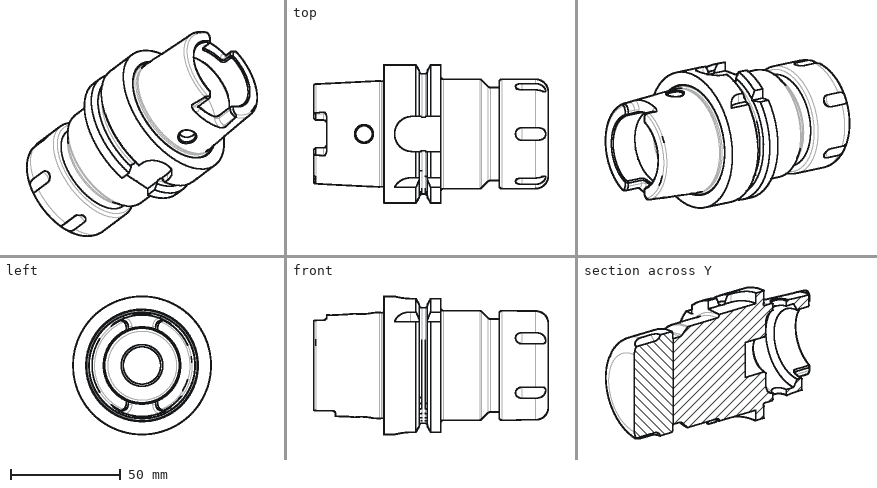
import cadquery as cq
import math


shank_length = 32.0
gauge_radius = 24.0
gauge_x = -6.3
taper_slope = 1 / 20
tip_fillet = 1.0
relief_length = 2.0
relief_radius = 24.1
relief_taper_length = 0.8
relief_fillet = 0.7
face_relief_radius = 25.3
face_relief_depth = 0.3

slot_half_width = 6.25
upper_slot_depth = 6.0
lower_slot_depth = 10.0
slot_flare_radius = 2.9
slot_flare_height = 20.65
slot_floor_fillet = 1.5
slot_lead_in = 1.0
slot_lead_in_flare = 0.3

bore_radius = 17.0
bore_chamfer = 0.6
bore_lip_x = -19.0
chamber_radius = 20.5
clamping_face_angle = 60.0
chamber_fillet = 4.8
chamber_floor_x = -1.2
coolant_bore_radius = 8.5
coolant_bore_chamfer = 1.0
coolant_bore_depth = 12.0
access_hole_radius = 3.75
access_hole_chamfer = 0.5
access_hole_x = -9.0

flange_radius = 31.5
flange_length = 26.0
groove_centre_x = 18.0
groove_half_width = 3.35
groove_radius = 27.5
groove_half_floor = 1.8
groove_fillet = 1.0
groove_wall_angle = 30.0

keyway_radius = 8.0
keyway_centre_x = 12.9
keyway_floor = 26.4
notch_cutter_radius = 8.0
notch_centre_x = 12.0
notch_offset = 20.0

body_radius = 25.0
body_root_fillet = 1.1
shoulder_x = 44.1
shoulder_fillet = 0.9
neck_radius = 21.25
neck_fillet = 1.35

nut_start = 52.5
nut_end = 75.0
nut_radius = 25.0
nut_rear_fillet = 1.3
nut_front_fillet = 6.0
wrench_slot_count = 6
wrench_slot_radius = 3.0
wrench_slot_axis_radius = 25.7
wrench_slot_centre_x = 62.9

slot_outer_margin = 2.0
tolerance = 0.001

edge_stations = (0, 0.3, 0.5, 0.7, 1)


def taper_radius(x):
    return gauge_radius + taper_slope * (x - gauge_x)


def revolve_about_x(profile):
    return profile.close().revolve(360, (0, 0, 0), (1, 0, 0))


def circles_at(body, x, radius):
    """Circular edges of a turned body with a given radius, lying at a given X."""
    return body.edges("%CIRCLE").filter(
        lambda edge: abs(edge.Center().x - x) < tolerance and abs(edge.radius() - radius) < tolerance
    )



def make_turned_outside():
    tip_x = -shank_length
    tip_fillet_end = tip_x + tip_fillet
    tip_face_radius = taper_radius(tip_fillet_end) - tip_fillet
    groove_wall_length = groove_half_width - groove_half_floor
    groove_wall_foot = flange_radius - groove_wall_length / math.tan(math.radians(groove_wall_angle))
    groove_start = groove_centre_x - groove_half_floor
    groove_end = groove_centre_x + groove_half_floor
    neck_start = shoulder_x + body_radius - neck_radius
    profile = (
        cq.Workplane("XY")
        .moveTo(tip_x, 0)
        .lineTo(tip_x, tip_face_radius)
        .radiusArc((tip_fillet_end, taper_radius(tip_fillet_end)), tip_fillet)
        .lineTo(-relief_length, taper_radius(-relief_length))
        .lineTo(-relief_length + relief_taper_length, relief_radius)
        .lineTo(face_relief_depth - relief_fillet, relief_radius)
        .radiusArc((face_relief_depth, relief_radius + relief_fillet), -relief_fillet)
        .lineTo(face_relief_depth, face_relief_radius)
        .lineTo(0, face_relief_radius + face_relief_depth)
        .lineTo(0, flange_radius)
        .lineTo(groove_centre_x - groove_half_width, flange_radius)
        .lineTo(groove_start, groove_wall_foot)
        .lineTo(groove_start, groove_radius + groove_fillet)
        .radiusArc((groove_start + groove_fillet, groove_radius), -groove_fillet)
        .lineTo(groove_end - groove_fillet, groove_radius)
        .radiusArc((groove_end, groove_radius + groove_fillet), -groove_fillet)
        .lineTo(groove_end, groove_wall_foot)
        .lineTo(groove_centre_x + groove_half_width, flange_radius)
        .lineTo(flange_length, flange_radius)
        .lineTo(flange_length, body_radius + body_root_fillet)
        .radiusArc((flange_length + body_root_fillet, body_radius), -body_root_fillet)
        .lineTo(shoulder_x, body_radius)
        .lineTo(neck_start, neck_radius)
        .lineTo(nut_start, neck_radius)
        .lineTo(nut_start, 0)
    )
    turned = revolve_about_x(profile)
    turned = circles_at(turned, shoulder_x, body_radius).fillet(shoulder_fillet)
    return circles_at(turned, neck_start, neck_radius).fillet(neck_fillet)


def make_clamping_bore():
    clamping_face_length = (chamber_radius - bore_radius) / math.tan(math.radians(clamping_face_angle))
    coolant_bore_end = chamber_floor_x + coolant_bore_depth
    profile = (
        cq.Workplane("XY")
        .moveTo(-shank_length, 0)
        .lineTo(-shank_length, bore_radius)
        .lineTo(bore_lip_x, bore_radius)
        .lineTo(bore_lip_x + clamping_face_length, chamber_radius)
        .lineTo(chamber_floor_x - chamber_fillet, chamber_radius)
        .radiusArc((chamber_floor_x, chamber_radius - chamber_fillet), chamber_fillet)
        .lineTo(chamber_floor_x, coolant_bore_radius + coolant_bore_chamfer)
        .lineTo(chamber_floor_x + coolant_bore_chamfer, coolant_bore_radius)
        .lineTo(coolant_bore_end, coolant_bore_radius)
        .lineTo(coolant_bore_end, 0)
    )
    return revolve_about_x(profile)


def draw_drive_slot(plane, half_width, flare_radius):
    """Slot section at +Z: straight walls that turn outwards through a rounded corner."""
    flare_start = slot_flare_height - slot_flare_radius
    flare_height = flare_start + flare_radius
    flare_half_width = half_width + flare_radius
    outer_half_width = slot_half_width + slot_flare_radius + slot_outer_margin
    slot_top = gauge_radius + slot_outer_margin
    return (
        plane.moveTo(-half_width, 0)
        .lineTo(-half_width, flare_start)
        .radiusArc((-flare_half_width, flare_height), -flare_radius)
        .lineTo(-outer_half_width, flare_height)
        .lineTo(-outer_half_width, slot_top)
        .lineTo(outer_half_width, slot_top)
        .lineTo(outer_half_width, flare_height)
        .lineTo(flare_half_width, flare_height)
        .radiusArc((half_width, flare_start), -flare_radius)
        .lineTo(half_width, 0)
        .close()
    )


def make_drive_slot(depth):
    """Drive slot at +Z with a rounded floor corner and a wider lead-in at the shank tip."""
    slot_start = -shank_length - slot_lead_in
    slot = draw_drive_slot(
        cq.Workplane("YZ", origin=(slot_start, 0, 0)), slot_half_width, slot_flare_radius
    ).extrude(slot_lead_in + depth)
    floor_corners = slot.faces(">X").edges().filter(
        lambda edge: tolerance < edge.Center().z < slot_flare_height + tolerance
    )
    slot = floor_corners.fillet(slot_floor_fillet)
    lead_in = draw_drive_slot(
        cq.Workplane("YZ", origin=(slot_start, 0, 0)),
        slot_half_width + 2 * slot_lead_in,
        slot_flare_radius - 2 * slot_lead_in_flare,
    )
    lead_in = draw_drive_slot(
        lead_in.workplane(offset=2 * slot_lead_in), slot_half_width, slot_flare_radius
    ).loft(ruled=True)
    return slot.union(lead_in)


def chamfer_bore_edge(holder):
    """Break the front edge of the clamping bore, along the tip and around both drive slots."""
    rim = holder.edges().filter(
        lambda edge: edge.Center().x < bore_lip_x - tolerance
        and all(
            abs(math.hypot(point.y, point.z) - bore_radius) < tolerance
            for point in edge.positions(edge_stations)
        )
        and not (edge.geomType() == "LINE" and abs(edge.Center().z) < tolerance)
    )
    return rim.chamfer(bore_chamfer)


def chamfer_access_holes(holder):
    """Break the outer mouths of the access holes, one at +Z and one at -Z."""
    for side in (1, -1):
        mouth = holder.edges().filter(
            lambda edge: abs(edge.Center().x - access_hole_x) < access_hole_radius / 2
            and side * edge.Center().z > chamber_radius + tolerance
            and edge.geomType() != "LINE"
        )
        holder = mouth.chamfer(access_hole_chamfer)
    return holder


def make_keyway():
    """Round-ended flat at +Z, open towards the body."""
    return (
        cq.Workplane("XY", origin=(keyway_centre_x, 0, keyway_floor))
        .moveTo(0, keyway_radius)
        .radiusArc((0, -keyway_radius), -keyway_radius)
        .lineTo(flange_length - keyway_centre_x, -keyway_radius)
        .lineTo(flange_length - keyway_centre_x, keyway_radius)
        .close()
        .extrude(flange_radius)
    )


def make_notch():
    """Corner cut with a flat floor facing +Z and a wall facing -Y that curves out at its end."""
    return (
        cq.Workplane("XY", origin=(notch_centre_x, -notch_offset, notch_offset))
        .radiusArc((-notch_cutter_radius, -notch_cutter_radius), -notch_cutter_radius)
        .lineTo(-notch_cutter_radius, -flange_radius)
        .lineTo(flange_length - notch_centre_x, -flange_radius)
        .lineTo(flange_length - notch_centre_x, 0)
        .close()
        .extrude(flange_radius)
    )


def make_holder():
    holder = make_turned_outside().cut(make_clamping_bore())
    holder = holder.cut(make_drive_slot(upper_slot_depth))
    holder = holder.cut(make_drive_slot(lower_slot_depth).mirror("XY"))
    holder = chamfer_bore_edge(holder)
    access_holes = (
        cq.Workplane("XY", origin=(access_hole_x, 0, 0))
        .circle(access_hole_radius)
        .extrude(flange_radius, both=True)
    )
    holder = chamfer_access_holes(holder.cut(access_holes))
    keyway = make_keyway()
    return holder.cut(keyway).cut(keyway.mirror("XY")).cut(make_notch())



def make_wrench_slot():
    """Round-bottomed groove at +Z with a ball end, open at the front of the nut."""
    end_centre = (wrench_slot_centre_x, 0, wrench_slot_axis_radius)
    ball_end = cq.Workplane("XY", origin=end_centre).sphere(wrench_slot_radius)
    groove = (
        cq.Workplane("YZ", origin=end_centre)
        .circle(wrench_slot_radius)
        .extrude(nut_end - wrench_slot_centre_x)
    )
    return groove.union(ball_end)


def make_nut():
    nut = cq.Workplane("YZ", origin=(nut_start, 0, 0)).circle(nut_radius).extrude(nut_end - nut_start)
    nut = nut.faces("<X").edges().fillet(nut_rear_fillet)
    nut = nut.faces(">X").edges().fillet(nut_front_fillet)
    slot = make_wrench_slot()
    for i in range(wrench_slot_count):
        nut = nut.cut(slot.rotate((0, 0, 0), (1, 0, 0), i * 360 / wrench_slot_count))
    return nut


holder = make_holder()
nut = make_nut()
result = cq.Compound.makeCompound([holder.val(), nut.val()])